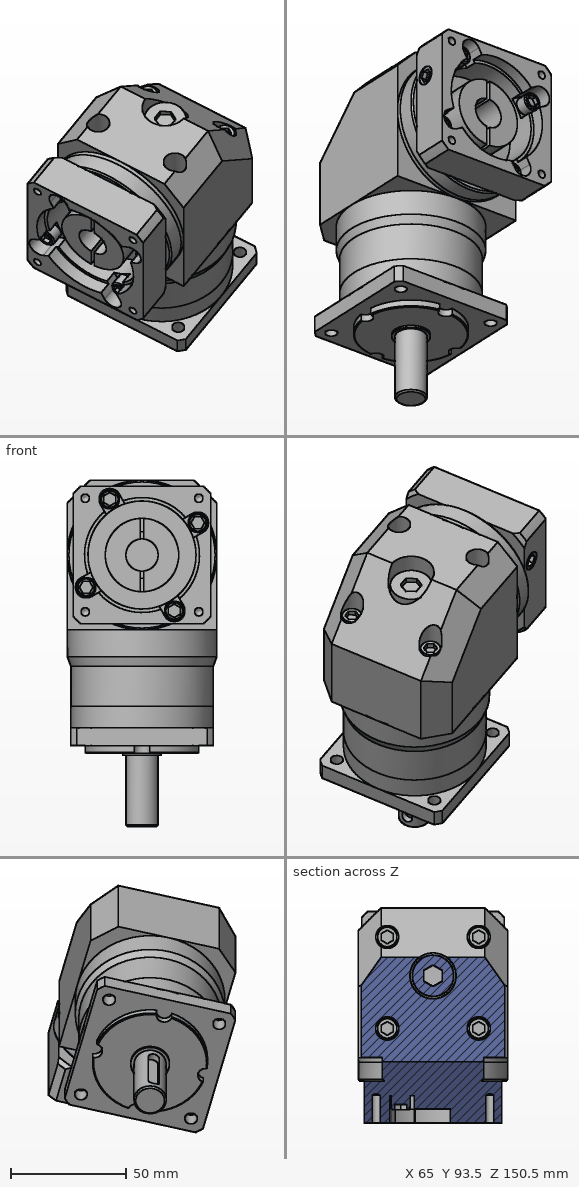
import cadquery as cq
import math


HALF_BLOCK = 32.5
REAR_BEVEL = 30.1
EDGE_CHAMFER = 10.0
COLLAR_BOTTOM = -44.2
CONE_BOTTOM = -48.3
TUBE_RADIUS = 31.0
HOUSING_BOTTOM = -65.6
HOUSING_FRONT = -34.5

TOP_SCREW_OFFSET = 19.9
TOP_BORE_RADIUS = 5.0
TOP_HEAD_RADIUS = 4.2
TOP_HEAD_Z = 10.5
TOP_BORE_FLOOR = 4.5
TOP_HEX_FLATS = 5.1
PLUG_Y = 3.0
PLUG_BORE_RADIUS = 10.0
PLUG_RADIUS = 9.0
PLUG_TOP = 24.8
PLUG_BORE_FLOOR = 13.5
PLUG_HEX_FLATS = 8.0

FLANGE_TOP = -75.1
FLANGE_BOTTOM = -82.8
FLANGE_HALF = TUBE_RADIUS
FLANGE_CORNER_RADIUS = 42.0
FLANGE_HOLE_OFFSET = 24.7
FLANGE_HOLE_RADIUS = 2.7
PILOT_RADIUS = 25.0
PILOT_BOTTOM = -86.1
PILOT_CHAMFER = 0.5
PILOT_NOTCH_RADIUS = 3.5
SEAL_RADIUS = 8.5
SEAL_BOTTOM = -87.0
SHAFT_DIAMETER = 14.0
SHAFT_RADIUS = SHAFT_DIAMETER / 2
OVERALL_HEIGHT = 150.5
SHAFT_BOTTOM = HALF_BLOCK - OVERALL_HEIGHT
SHAFT_CHAMFER = 0.8
KEYWAY_TOP = -89.8
KEYWAY_BOTTOM = -114.8
KEYWAY_WIDTH = 5.0
KEYWAY_DEPTH = 3.0

PLATE_BACK = -42.7
PLATE_FRONT = -61.0
PLATE_HALF = 30.0
PLATE_CORNER_RADIUS = 40.0
RING_CHAMFER = 0.8
BACK_BEVEL = 1.8
MOTOR_HOLE_OFFSET = 24.7
MOTOR_HOLE_RADIUS = 1.8
MOTOR_HOLE_DEPTH = 12.0
DRILL_POINT_ANGLE = 118
CENTERING_RADIUS = PILOT_RADIUS
CENTERING_DEPTH = 6.0
CAVITY_RADIUS = 23.5
CAVITY_FLOOR = -40.0
ADAPTER_SCREW_CIRCLE = 28.0
ADAPTER_SCREW_ANGLES = (30, 120, 210, 300)
ADAPTER_SLOT_RADIUS = 4.7
ADAPTER_SLOT_FLOOR = -49.2
ADAPTER_HEAD_RADIUS = 4.2
ADAPTER_HEAD_CHAMFER = 0.6
ADAPTER_HEAD_FRONT = -55.2
ADAPTER_HEX_FLATS = 5.1

HUB_RADIUS = 16.0
HUB_FRONT = PLATE_FRONT + CENTERING_DEPTH
HUB_BORE_RADIUS = SHAFT_RADIUS
HUB_SLIT_WIDTH = 1.5
HUB_SLIT_DEPTH = 9.0
HUB_INNER_SLIT_HALF = 10.1
HUB_INNER_SLIT_DEPTH = 12.0

ACCESS_Y = -48.9
ACCESS_Z = 11.1
ACCESS_PLUG_RADIUS = 4.2
ACCESS_PLUG_RECESS = 0.3
ACCESS_HEX_FLATS = 5.1

HEX_DEPTH = 2.3


def upright(x, y, radius, bottom, top):
    """Cylinder along Z."""
    return cq.Workplane("XY", origin=(x, y, bottom)).circle(radius).extrude(top - bottom)


def level(x, z, radius, front, back):
    """Cylinder along Y from the front (-Y) end to the back end."""
    return cq.Workplane("XZ", origin=(x, back, z)).circle(radius).extrude(back - front)


def hexagon(plane, flats, depth):
    """Hexagonal prism that runs the given depth back along the plane's normal."""
    return cq.Workplane(plane).polygon(6, flats / math.cos(math.pi / 6)).extrude(-depth)


def top_hexagon(x, y, z, flats):
    """Vertical socket with two of its corners pointing along Y."""
    return hexagon(cq.Plane((x, y, z), (0, 1, 0), (0, 0, 1)), flats, HEX_DEPTH)


def square_points(offset):
    return [(x, y) for x in (-offset, offset) for y in (-offset, offset)]


def block():
    bevel_start = HALF_BLOCK - REAR_BEVEL
    body = (
        cq.Workplane("YZ", origin=(-HALF_BLOCK, 0, 0))
        .moveTo(-HALF_BLOCK, -HALF_BLOCK)
        .lineTo(HALF_BLOCK, -HALF_BLOCK)
        .lineTo(HALF_BLOCK, bevel_start)
        .lineTo(bevel_start, HALF_BLOCK)
        .lineTo(-HALF_BLOCK, HALF_BLOCK)
        .close()
        .extrude(2 * HALF_BLOCK)
    )
    rim = body.faces("<X or >X").edges("not(<Y or <Z)")
    return body.newObject(rim.vals()).chamfer(EDGE_CHAMFER)


def housing_tube():
    """Round collar, cone and tube below the block, turned about Z."""
    return (
        cq.Workplane("XZ")
        .moveTo(0, -HALF_BLOCK)
        .lineTo(HALF_BLOCK, -HALF_BLOCK)
        .lineTo(HALF_BLOCK, COLLAR_BOTTOM)
        .lineTo(TUBE_RADIUS, CONE_BOTTOM)
        .lineTo(TUBE_RADIUS, HOUSING_BOTTOM)
        .lineTo(0, HOUSING_BOTTOM)
        .close()
        .revolve(360, (0, 0, 0), (0, 1, 0))
    )


def sunk_head(body, x, y, bore_radius, floor, head_radius, head_top, flats):
    """Bores down from the top of the body and leaves a socket head standing in the bore."""
    body = body.cut(upright(x, y, bore_radius, floor, HALF_BLOCK))
    body = body.union(upright(x, y, head_radius, floor, head_top))
    return body.cut(top_hexagon(x, y, head_top, flats))


def make_housing():
    body = block().union(housing_tube())
    body = body.union(level(0, 0, HALF_BLOCK, HOUSING_FRONT, -HALF_BLOCK))
    for x, y in square_points(TOP_SCREW_OFFSET):
        body = sunk_head(
            body, x, y, TOP_BORE_RADIUS, TOP_BORE_FLOOR, TOP_HEAD_RADIUS, TOP_HEAD_Z, TOP_HEX_FLATS
        )
    return sunk_head(
        body, 0, PLUG_Y, PLUG_BORE_RADIUS, PLUG_BORE_FLOOR, PLUG_RADIUS, PLUG_TOP, PLUG_HEX_FLATS
    )


def flange():
    thickness = FLANGE_TOP - FLANGE_BOTTOM
    side = 2 * FLANGE_HALF
    plate = cq.Workplane("XY", origin=(0, 0, FLANGE_BOTTOM)).rect(side, side).extrude(thickness)
    plate = plate.intersect(upright(0, 0, FLANGE_CORNER_RADIUS, FLANGE_BOTTOM, FLANGE_TOP))
    for x, y in square_points(FLANGE_HOLE_OFFSET):
        plate = plate.cut(upright(x, y, FLANGE_HOLE_RADIUS, FLANGE_BOTTOM, FLANGE_TOP))
    return plate


def pilot():
    disc = upright(0, 0, PILOT_RADIUS, PILOT_BOTTOM, FLANGE_BOTTOM)
    disc = disc.faces("<Z").edges().chamfer(PILOT_CHAMFER)
    for x, y in ((1, 0), (0, 1), (-1, 0), (0, -1)):
        notch = upright(
            x * PILOT_RADIUS, y * PILOT_RADIUS, PILOT_NOTCH_RADIUS, PILOT_BOTTOM, FLANGE_BOTTOM
        )
        disc = disc.cut(notch)
    return disc


def output_shaft():
    shaft = upright(0, 0, SHAFT_RADIUS, SHAFT_BOTTOM, SEAL_BOTTOM)
    shaft = shaft.faces("<Z").edges().chamfer(SHAFT_CHAMFER)
    keyway = (
        cq.Workplane("XZ", origin=(0, SHAFT_RADIUS, (KEYWAY_TOP + KEYWAY_BOTTOM) / 2))
        .slot2D(KEYWAY_TOP - KEYWAY_BOTTOM, KEYWAY_WIDTH, 90)
        .extrude(KEYWAY_DEPTH)
    )
    return shaft.cut(keyway)


def make_output_unit():
    body = upright(0, 0, TUBE_RADIUS, FLANGE_TOP, HOUSING_BOTTOM)
    body = body.union(flange()).union(pilot())
    body = body.union(upright(0, 0, SEAL_RADIUS, SEAL_BOTTOM, PILOT_BOTTOM))
    return body.union(output_shaft())


def adapter_ring():
    ring = level(0, 0, HALF_BLOCK, PLATE_BACK, HOUSING_FRONT)
    return ring.faces("<Y").edges().chamfer(RING_CHAMFER)


def adapter_plate():
    thickness = PLATE_BACK - PLATE_FRONT
    side = 2 * PLATE_HALF
    plate = cq.Workplane("XZ", origin=(0, PLATE_BACK, 0)).rect(side, side).extrude(thickness)
    envelope = level(0, 0, PLATE_CORNER_RADIUS, PLATE_FRONT, PLATE_BACK)
    envelope = envelope.faces(">Y").edges().chamfer(BACK_BEVEL)
    return plate.intersect(envelope)


def motor_hole(x, z):
    """Blind drilled hole with a conical bottom."""
    point = MOTOR_HOLE_RADIUS / math.tan(math.radians(DRILL_POINT_ANGLE / 2))
    end = PLATE_FRONT + MOTOR_HOLE_DEPTH
    return (
        cq.Workplane("XY", origin=(x, 0, z))
        .moveTo(0, PLATE_FRONT)
        .lineTo(MOTOR_HOLE_RADIUS, PLATE_FRONT)
        .lineTo(MOTOR_HOLE_RADIUS, end)
        .lineTo(0, end + point)
        .close()
        .revolve(360, (0, 0, 0), (0, 1, 0))
    )


def screw_slot(angle):
    """Round-ended slot that opens from an adapter screw into the central cavity."""
    length = ADAPTER_SCREW_CIRCLE - HUB_RADIUS - ADAPTER_SLOT_RADIUS
    end = cq.Workplane("XZ", origin=(ADAPTER_SCREW_CIRCLE, ADAPTER_SLOT_FLOOR, 0))
    depth = ADAPTER_SLOT_FLOOR - PLATE_FRONT
    slot = end.circle(ADAPTER_SLOT_RADIUS).extrude(depth)
    slot = slot.union(end.center(-length / 2, 0).rect(length, 2 * ADAPTER_SLOT_RADIUS).extrude(depth))
    return slot.rotate((0, 0, 0), (0, 1, 0), -angle)


def adapter_screw_head(angle):
    x = ADAPTER_SCREW_CIRCLE
    head = level(x, 0, ADAPTER_HEAD_RADIUS, ADAPTER_HEAD_FRONT, ADAPTER_SLOT_FLOOR)
    head = head.faces("<Y").edges().chamfer(ADAPTER_HEAD_CHAMFER)
    socket = hexagon(
        cq.Plane((x, ADAPTER_HEAD_FRONT, 0), (0, 0, 1), (0, -1, 0)), ADAPTER_HEX_FLATS, HEX_DEPTH
    )
    return head.cut(socket).rotate((0, 0, 0), (0, 1, 0), -angle)


def slit(half_height, depth):
    return (
        cq.Workplane("XZ", origin=(0, HUB_FRONT + depth, 0))
        .rect(HUB_SLIT_WIDTH, 2 * half_height)
        .extrude(depth)
    )


def clamping_hub():
    hub = level(0, 0, HUB_RADIUS, HUB_FRONT, CAVITY_FLOOR)
    hub = hub.cut(level(0, 0, HUB_BORE_RADIUS, HUB_FRONT, CAVITY_FLOOR))
    hub = hub.cut(slit(HUB_RADIUS, HUB_SLIT_DEPTH))
    return hub.cut(slit(HUB_INNER_SLIT_HALF, HUB_INNER_SLIT_DEPTH))


def access_plug_recess():
    """Shallow round recess over the access plug, with the plug's hexagon socket."""
    plug_x = -PLATE_HALF + ACCESS_PLUG_RECESS
    face = cq.Plane((plug_x, ACCESS_Y, ACCESS_Z), (0, 1, 0), (-1, 0, 0))
    recess = (
        cq.Workplane("YZ", origin=(-PLATE_HALF, ACCESS_Y, ACCESS_Z))
        .circle(ACCESS_PLUG_RADIUS)
        .extrude(ACCESS_PLUG_RECESS)
    )
    socket = hexagon(face, ACCESS_HEX_FLATS, HEX_DEPTH)
    return recess.union(socket)


def make_motor_adapter():
    body = adapter_ring().union(adapter_plate())
    body = body.cut(level(0, 0, CENTERING_RADIUS, PLATE_FRONT, HUB_FRONT))
    body = body.cut(level(0, 0, CAVITY_RADIUS, HUB_FRONT, CAVITY_FLOOR))
    for x, z in square_points(MOTOR_HOLE_OFFSET):
        body = body.cut(motor_hole(x, z))
    for angle in ADAPTER_SCREW_ANGLES:
        body = body.cut(screw_slot(angle)).union(adapter_screw_head(angle))
    return body.union(clamping_hub()).cut(access_plug_recess())


housing = make_housing()
output_unit = make_output_unit()
motor_adapter = make_motor_adapter()

bodies = [housing, output_unit, motor_adapter]
result = cq.Compound.makeCompound([body.solids().val() for body in bodies])